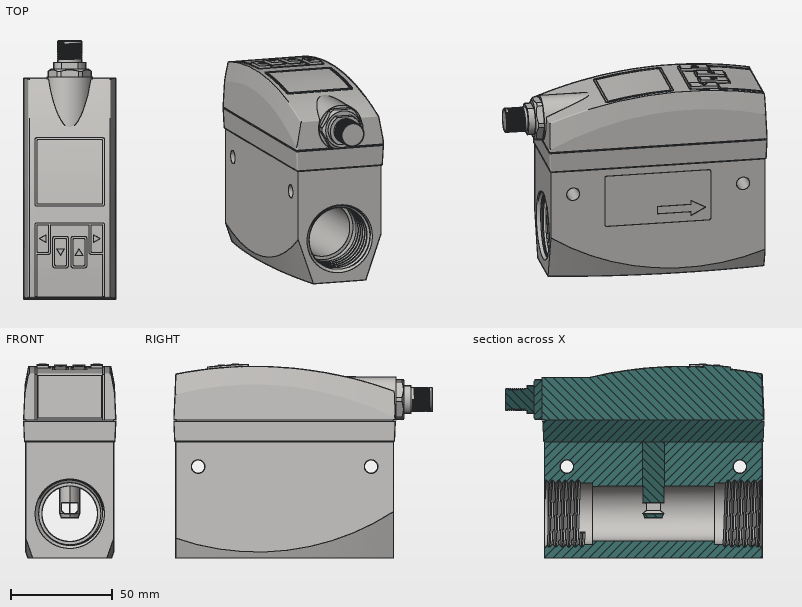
import cadquery as cq
import math


BLOCK_WIDTH = 43.3
BLOCK_LENGTH = 107.3
BLOCK_TOP = 57.1
BELLY_LOW_Y = -13.3
BELLY_LOW_Z = 2.9
BELLY_RADIUS = 122.3
BELLY_SLOPE = 0.35
MOUNT_DIAMETER = 6.5
MOUNT_SPACING = 85.1
MOUNT_Z = 45.0
LABEL_SIZE = (53.1, 26.2)
LABEL_CENTER = (0.1, 40.1)
LABEL_CORNER = 1.0
LABEL_DEPTH = 0.1
ARROW_TAIL_Y = 0.4
ARROW_NECK_Y = -16.5
ARROW_TIP_Y = -23.8
ARROW_Z = 33.8
ARROW_HALF_STEM = 1.9
ARROW_HALF_HEAD = 4.0

BORE_Z = 21.8
BORE_RADIUS = 13.6
PORT_RADIUS = 15.3
PORT_DEPTH = 23.6
PORT_MOUTH_RADIUS = 17.1
PORT_PITCH = 3.2
PORT_GROOVE_DEPTH = 1.3
PORT_GROOVE_WIDTH = 2.7

BAND_TOP = 67.3
SEAM_GAP = 0.6
SEAM_DEPTH = 1.1
CAP_BOTTOM = BAND_TOP + SEAM_GAP
CAP_WIDTH = 45.5
CAP_LENGTH = 109.1
DRAFT = math.tan(math.radians(2.5))
CORNER_RADIUS = 0.6
BAND_BOTTOM_CHAMFER = 0.5
DOME_TOP_Y = -14.9
DOME_TOP_Z = 94.35
DOME_RADIUS = 198.8
DOME_HALF_WIDTH = 20.3
DOME_SIDE_SLOPE = 0.19
DOME_EDGE_RADIUS = 0.5

GROOVE_DEPTH = 0.4
GROOVE_WIDTH = 1.0
GROOVE_CORNER = 1.1
INSET_WIDTH = 34.4
DISPLAY_BACK_Y = 25.1
DISPLAY_FRONT_Y = -8.7
KEYPAD_BACK_Y = -16.8
BUTTON_SIZE = (5.7, 13.5)
BUTTON_HEIGHT = 0.95
BUTTON_ROOT = 2 * GROOVE_DEPTH
BUTTON_CORNER = 0.5
MARK_HEIGHT = 0.32
MARK_RADIUS = 2.2
INNER_BUTTON_X = 4.52
INNER_BUTTON_DROP = 6.6
PANEL_WIDTH = 31.3
PANEL_BOTTOM = 68.8
PANEL_TOP = 89.8
PANEL_DEPTH = 0.3

AXIS_Z = 78.0
BOSS_RADIUS = 11.2
BOSS_BACK_Y = 54.9
NUT_LENGTH = 4.0
NUT_ACROSS_FLATS = 19.5
NUT_DIAMETER = 21.4
NUT_CHAMFER = (1.1, 1.5)
COLLAR_LENGTH = 3.3
COLLAR_DIAMETER = 15.8
COLLAR_ACROSS_FLATS = 13.6
PLUG_TIP_Y = 127.4 - CAP_LENGTH / 2
PLUG_RADIUS = 6.0
PLUG_TIP_CHAMFER = 0.4
PLUG_RUNOUT = 1.0
PLUG_PITCH = 1.0
PLUG_GROOVE_DEPTH = 0.5
PLUG_GROOVE_WIDTH = 0.83

PROBE_WIDTH = 10.0
PROBE_LENGTH = 13.0
PROBE_BOTTOM = 19.8
PROBE_TAPER = 20.0
WINDOW_WIDTH = 8.0
WINDOW_BOTTOM = 21.8
WINDOW_TOP = 27.1
WINDOW_CHAMFER = 1.5
WINDOW_FILLET = 0.4
WEB_THICKNESS = 0.4

THREAD_FLOOR = 0.2
THREAD_OVERLAP = 0.1

ARC_REACH = 63.7
HEADROOM = 1.3
SPAN = 254.8


def box(x_range, y_range, z_range):
    """A plain box from its limits along the three axes."""
    (x0, x1), (y0, y1), (z0, z1) = x_range, y_range, z_range
    return cq.Workplane("XY").box(x1 - x0, y1 - y0, z1 - z0, centered=False).translate((x0, y0, z0))


def plate(x_range, y_range, corner):
    """A tall upright prism with rounded corners."""
    (x0, x1), (y0, y1) = x_range, y_range
    prism = box(x_range, y_range, (0, SPAN))
    return prism.edges("|Z").fillet(corner)


def rod(radius, y0, y1, z):
    """A cylinder along Y."""
    return cq.Workplane("XZ", origin=(0, y0, z)).circle(radius).extrude(y0 - y1)


def arc_height(y, top_y, top_z, radius):
    """Height at y of a circle whose highest point is (top_y, top_z); a negative radius bows down."""
    drop = abs(radius) - math.sqrt(radius**2 - (y - top_y) ** 2)
    return top_z - math.copysign(drop, radius)


def arc_profile(x, top_y, top_z, radius, base_z):
    """Closed profile in the plane at x, between an arc and the level base_z."""
    ends = [(y, arc_height(y, top_y, top_z, radius)) for y in (-ARC_REACH, ARC_REACH)]
    middle = (top_y, top_z)
    return (
        cq.Workplane("YZ", origin=(x, 0, 0))
        .moveTo(-ARC_REACH, base_z)
        .lineTo(*ends[0])
        .threePointArc(middle, ends[1])
        .lineTo(ARC_REACH, base_z)
        .close()
    )


def slanted_prism(profile, direction):
    """Extrude a closed profile along any direction."""
    return cq.Workplane(cq.Solid.extrudeLinear(profile.wire().val(), [], cq.Vector(*direction)))


def both_sides(tool):
    """The tool and its mirror image across X = 0."""
    return [tool, tool.mirror("YZ")]


def helical_groove(radius, pitch, turns, width, depth):
    """Trapezoidal groove cutter around Z from Z = 0; a negative depth cuts inward from a shaft."""
    height = pitch * turns
    path = cq.Wire.makeHelix(pitch, height, radius)
    overlap = math.copysign(THREAD_OVERLAP, depth)
    half_floor = width * THREAD_FLOOR / 2
    section = (
        cq.Workplane("XZ")
        .polyline([
            (radius - overlap, -width / 2),
            (radius + depth, -half_floor),
            (radius + depth, half_floor),
            (radius - overlap, width / 2),
        ])
        .close()
    )
    return section.sweep(cq.Workplane(path), isFrenet=True)



def lens(z0, z1, taper=0):
    """Prism from z0 to z1 with a section of two equal arcs that meet in edges at the front and back."""
    tip = (0, PROBE_LENGTH / 2)
    tail = (0, -PROBE_LENGTH / 2)
    return (
        cq.Workplane("XY", origin=(0, 0, z0))
        .moveTo(*tail)
        .threePointArc((PROBE_WIDTH / 2, 0), tip)
        .threePointArc((-PROBE_WIDTH / 2, 0), tail)
        .close()
        .extrude(z1 - z0, taper=taper)
    )


def make_probe():
    body = lens(WINDOW_BOTTOM, BLOCK_TOP)
    body = body.union(lens(WINDOW_BOTTOM, PROBE_BOTTOM, PROBE_TAPER))
    half = WINDOW_WIDTH / 2
    window = box((-half, half), (-PROBE_LENGTH, PROBE_LENGTH), (WINDOW_BOTTOM, WINDOW_TOP))
    window = window.edges("|Y and <Z").chamfer(WINDOW_CHAMFER)
    window = window.edges("|Y and >Z").fillet(WINDOW_FILLET)
    web = box((-WEB_THICKNESS / 2, WEB_THICKNESS / 2), (-SPAN, SPAN), (0, SPAN))
    return body.cut(window.cut(web))



def port_cutter():
    """Threaded port entering from the front end of the block."""
    mouth_y = -BLOCK_LENGTH / 2
    bevel = PORT_MOUTH_RADIUS - PORT_RADIUS
    bore = cq.Workplane("XY").circle(PORT_RADIUS).extrude(PORT_DEPTH)
    mouth = cq.Workplane(cq.Solid.makeCone(PORT_MOUTH_RADIUS, PORT_RADIUS, bevel))
    turns = PORT_DEPTH / PORT_PITCH - 1
    groove = helical_groove(PORT_RADIUS, PORT_PITCH, turns, PORT_GROOVE_WIDTH, PORT_GROOVE_DEPTH)
    groove = groove.translate((0, 0, -PORT_PITCH / 2))
    cutter = bore.union(mouth).union(groove)
    return cutter.rotate((0, 0, 0), (1, 0, 0), -90).translate((0, mouth_y, BORE_Z))


def label_cutter():
    """Shallow label field on the -X side, with the flow arrow sunk once more inside it."""
    side = -BLOCK_WIDTH / 2
    y, z = LABEL_CENTER
    length, height = LABEL_SIZE
    field = cq.Workplane("XY").box(2 * LABEL_DEPTH, length, height).edges("|X").fillet(LABEL_CORNER)
    field = field.translate((side, y, z))
    arrow = (
        cq.Workplane("YZ", origin=(side, 0, ARROW_Z))
        .polyline([
            (ARROW_TAIL_Y, ARROW_HALF_STEM),
            (ARROW_NECK_Y, ARROW_HALF_STEM),
            (ARROW_NECK_Y, ARROW_HALF_HEAD),
            (ARROW_TIP_Y, 0),
            (ARROW_NECK_Y, -ARROW_HALF_HEAD),
            (ARROW_NECK_Y, -ARROW_HALF_STEM),
            (ARROW_TAIL_Y, -ARROW_HALF_STEM),
        ])
        .close()
        .extrude(2 * LABEL_DEPTH)
    )
    return field.union(arrow)


def make_block():
    half_width, half_length = BLOCK_WIDTH / 2, BLOCK_LENGTH / 2
    block = box((-half_width, half_width), (-half_length, half_length), (0, BLOCK_TOP))

    belly = arc_profile(half_width, BELLY_LOW_Y, BELLY_LOW_Z, -BELLY_RADIUS, -half_width)
    inward = half_width / 2
    for bevel in both_sides(slanted_prism(belly, (-inward, 0, -inward / BELLY_SLOPE))):
        block = block.cut(bevel)

    for y in (-MOUNT_SPACING / 2, MOUNT_SPACING / 2):
        hole = cq.Workplane("YZ").center(y, MOUNT_Z).circle(MOUNT_DIAMETER / 2)
        block = block.cut(hole.extrude(BLOCK_WIDTH, both=True))

    block = block.cut(rod(BORE_RADIUS, -SPAN, SPAN, BORE_Z))
    port = port_cutter()
    block = block.cut(port).cut(port.rotate((0, 0, 0), (0, 0, 1), 180))
    block = block.cut(lens(BORE_Z, BLOCK_TOP))
    return block.cut(label_cutter())



def drafted_prism(height):
    """Rounded rectangle of the cap's size at Z = 0 that narrows with the draft up to the height."""
    inset = DRAFT * height
    prism = (
        cq.Workplane("XY")
        .rect(CAP_WIDTH, CAP_LENGTH)
        .workplane(offset=height)
        .rect(CAP_WIDTH - 2 * inset, CAP_LENGTH - 2 * inset)
        .loft(ruled=True)
    )
    return prism.edges("not(#Z)").edges("not(|X or |Y)").fillet(CORNER_RADIUS)


def make_band():
    band = drafted_prism(BAND_TOP - BLOCK_TOP).mirror("XY").translate((0, 0, BAND_TOP))
    band = band.faces("<Z").chamfer(BAND_BOTTOM_CHAMFER)
    lip_width = CAP_WIDTH - 2 * SEAM_DEPTH
    lip_length = CAP_LENGTH - 2 * SEAM_DEPTH
    lip = cq.Workplane("XY", origin=(0, 0, BAND_TOP)).rect(lip_width, lip_length).extrude(SEAM_GAP)
    return band.union(lip)



def dome_layer(low, high):
    """Curved layer between two offsets from the dome, as wide as the dome."""
    def below(offset):
        profile = arc_profile(-DOME_HALF_WIDTH, DOME_TOP_Y, DOME_TOP_Z + offset, DOME_RADIUS, CAP_BOTTOM)
        return profile.extrude(2 * DOME_HALF_WIDTH)

    return below(high).cut(below(low))


def outline_groove(x_range, y_range):
    """Groove around a rounded rectangle on the dome."""
    (x0, x1), (y0, y1) = x_range, y_range
    w = GROOVE_WIDTH
    inner = plate((x0 + w, x1 - w), (y0 + w, y1 - w), GROOVE_CORNER / 2)
    return plate(x_range, y_range, GROOVE_CORNER).cut(inner)


def button_places():
    """Center and pointing angle of the mark of each button."""
    outer_x = INSET_WIDTH / 2 - GROOVE_WIDTH - BUTTON_SIZE[0] / 2
    outer_y = KEYPAD_BACK_Y - GROOVE_WIDTH - BUTTON_SIZE[1] / 2
    inner_y = outer_y - INNER_BUTTON_DROP
    return [
        (-outer_x, outer_y, 180),
        (-INNER_BUTTON_X, inner_y, -90),
        (INNER_BUTTON_X, inner_y, 90),
        (outer_x, outer_y, 0),
    ]


def button_range(x, y, margin):
    """Limits along X and Y of a button, widened by a margin."""
    half_x, half_y = BUTTON_SIZE[0] / 2 + margin, BUTTON_SIZE[1] / 2 + margin
    return (x - half_x, x + half_x), (y - half_y, y + half_y)


def mark_prism(x, y, angle):
    """Upright triangular prism that points along the angle, its height halved by the point (x, y)."""
    triangle = cq.Workplane("XY").polygon(3, 2 * MARK_RADIUS).extrude(SPAN)
    triangle = triangle.translate((-MARK_RADIUS / 4, 0, 0))
    return triangle.rotate((0, 0, 0), (0, 0, 1), angle).translate((x, y, 0))


def make_cap():
    envelope = drafted_prism(DOME_TOP_Z + HEADROOM - CAP_BOTTOM).translate((0, 0, CAP_BOTTOM))

    sky = arc_profile(DOME_HALF_WIDTH, DOME_TOP_Y, DOME_TOP_Z, DOME_RADIUS, SPAN)
    outward = CAP_WIDTH / 2 - DOME_HALF_WIDTH + HEADROOM
    cap = envelope.cut(sky.extrude(-2 * DOME_HALF_WIDTH))
    for flank in both_sides(slanted_prism(sky, (outward, 0, -outward / DOME_SIDE_SLOPE))):
        cap = cap.cut(flank)
    dome_face = cq.selectors.NearestToPointSelector((0, DOME_TOP_Y, DOME_TOP_Z))
    cap = cap.faces(dome_face).edges().fillet(DOME_EDGE_RADIUS)

    boss = rod(BOSS_RADIUS, 0, BOSS_BACK_Y, AXIS_Z)
    cap = cap.union(boss.intersect(box((-SPAN, SPAN), (-SPAN, SPAN), (CAP_BOTTOM, SPAN))))

    half = INSET_WIDTH / 2
    grooves = outline_groove((-half, half), (DISPLAY_FRONT_Y, DISPLAY_BACK_Y))
    grooves = grooves.union(outline_groove((-half, half), (-CAP_LENGTH, KEYPAD_BACK_Y)))
    for x, y, _ in button_places():
        grooves = grooves.union(outline_groove(*button_range(x, y, GROOVE_WIDTH)))
    cap = cap.cut(grooves.intersect(dome_layer(-GROOVE_DEPTH, HEADROOM)))

    for side in (-1, 1):
        x0, x1 = sorted((side * half, side * (half - GROOVE_WIDTH)))
        strip = box((x0, x1), (-CAP_LENGTH, 0), (CAP_BOTTOM, SPAN))
        cap = cap.cut(strip.cut(envelope.translate((0, GROOVE_DEPTH, 0))))
    panel = box((-PANEL_WIDTH / 2, PANEL_WIDTH / 2), (-CAP_LENGTH, 0), (PANEL_BOTTOM, PANEL_TOP))
    cap = cap.cut(panel.cut(envelope.translate((0, PANEL_DEPTH, 0))))

    for x, y, angle in button_places():
        button = plate(*button_range(x, y, 0), BUTTON_CORNER)
        cap = cap.union(button.intersect(dome_layer(-BUTTON_ROOT, BUTTON_HEIGHT)))
        mark = mark_prism(x, y, angle)
        cap = cap.union(mark.intersect(dome_layer(-BUTTON_ROOT, BUTTON_HEIGHT + MARK_HEIGHT)))
    return cap



NUT_BACK_Y = BOSS_BACK_Y + NUT_LENGTH
COLLAR_BACK_Y = NUT_BACK_Y + COLLAR_LENGTH


def make_nut():
    """Hexagon with flats at the top and bottom and turned corners, beveled toward the plug."""
    turned = rod(NUT_DIAMETER / 2, BOSS_BACK_Y, NUT_BACK_Y, AXIS_Z)
    turned = turned.faces(">Y").chamfer(*NUT_CHAMFER)
    corners = NUT_ACROSS_FLATS / math.cos(math.pi / 6)
    hexagon = cq.Workplane("XZ", origin=(0, BOSS_BACK_Y, AXIS_Z)).polygon(6, corners)
    return turned.intersect(hexagon.extrude(-NUT_LENGTH))


def make_plug():
    collar = rod(COLLAR_DIAMETER / 2, NUT_BACK_Y, COLLAR_BACK_Y, AXIS_Z)
    half_flats = COLLAR_ACROSS_FLATS / 2
    collar = collar.intersect(box((-SPAN, SPAN), (0, SPAN), (AXIS_Z - half_flats, AXIS_Z + half_flats)))
    shaft = rod(PLUG_RADIUS, COLLAR_BACK_Y, PLUG_TIP_Y, AXIS_Z)
    shaft = shaft.faces(">Y").chamfer(PLUG_TIP_CHAMFER)
    turns = (PLUG_TIP_Y - COLLAR_BACK_Y - 2 * PLUG_RUNOUT) / PLUG_PITCH
    groove = helical_groove(PLUG_RADIUS, PLUG_PITCH, turns, PLUG_GROOVE_WIDTH, -PLUG_GROOVE_DEPTH)
    groove = groove.rotate((0, 0, 0), (1, 0, 0), -90)
    groove = groove.translate((0, COLLAR_BACK_Y + PLUG_RUNOUT, AXIS_Z))
    return collar.union(shaft.cut(groove))


block = make_block()
probe = make_probe()
band = make_band()
cap = make_cap()
nut = make_nut()
plug = make_plug()

result = cq.Compound.makeCompound([
    block.val(),
    probe.val(),
    band.val(),
    cap.val(),
    nut.val(),
    plug.val(),
])